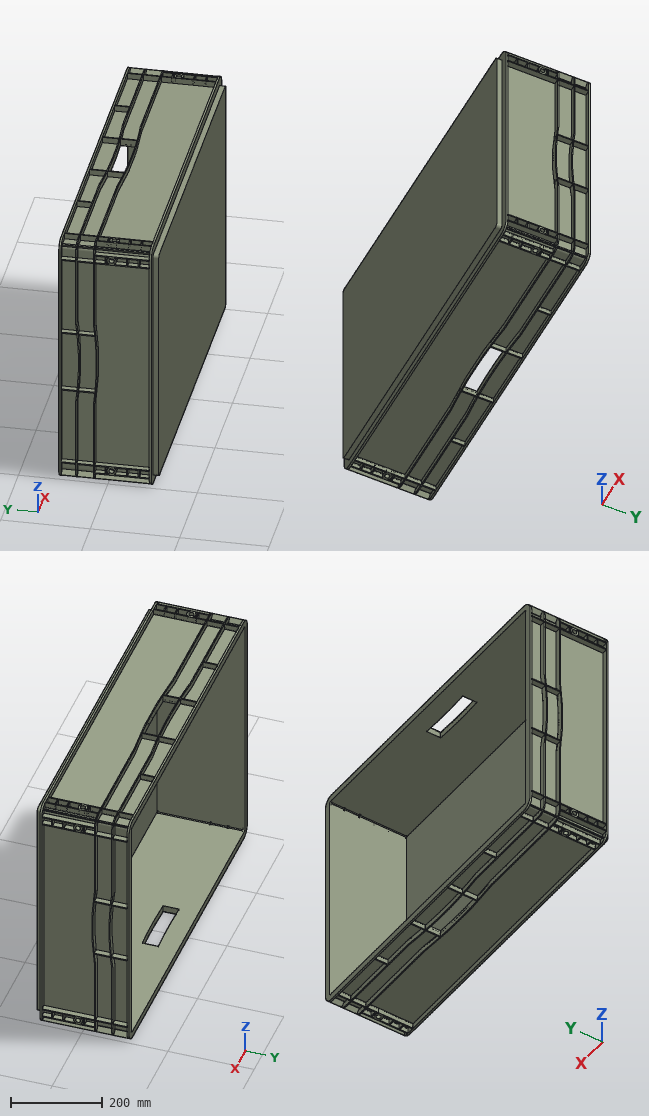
import cadquery as cq
import math

LENGTH = 800.0
HEIGHT = 600.0
DEPTH = 220.0
CORNER_RADIUS = 24.0

RIB_DEPTH = 14.0
WALL = 3.0
FLOOR = 3.0
CAVITY_RADIUS = 3.0
FLANGE = 5.0
PANEL_RADIUS = CORNER_RADIUS - RIB_DEPTH
PANEL_X = LENGTH / 2 - RIB_DEPTH
PANEL_Z = HEIGHT / 2 - RIB_DEPTH

FOOT_INSET = 19.0
FOOT_DEPTH = 13.0
FOOT_RADIUS = 8.0

RIB = 2.8
LOWER_RIB_Y = 141.0
UPPER_RIB_Y = 181.0
RIB_SAG = 6.0
LONG_SIDE_SAG_SPAN = 264.0
SHORT_SIDE_SAG_SPAN = 200.0

HANDLE_HALF = 72.0
HANDLE_UPRIGHT_Y = 137.0
LONG_SIDE_RIB_X = 213.0
BAY_INNER = 43.0
BAY_OUTER = 24.0

CROSS_RIB_YS = (41.0, 67.0, 115.0)
BOSS_Y = 102.0
BOSS_DIAMETER = 21.0
BOSS_HOLE = 11.0

FLOOR_TOP = FOOT_DEPTH + FLANGE
CAVITY_INSET = RIB_DEPTH + WALL
OVERLAP = WALL / 2


def slab(inset, y_start, y_end, radius):
    """Rounded rectangle set in from the outer outline, between two Y levels."""
    return (
        cq.Workplane("XZ", origin=(0, y_start, 0))
        .rect(LENGTH - 2 * inset, HEIGHT - 2 * inset)
        .extrude(y_start - y_end)
        .edges("|Y")
        .fillet(radius)
    )


def side_plane(half_width):
    """Plane on a side panel: local x along the side, local y along Y, normal outward."""
    if half_width == LENGTH / 2:
        return cq.Plane(origin=(0, 0, PANEL_Z - OVERLAP), xDir=(1, 0, 0), normal=(0, 0, 1))
    return cq.Plane(origin=(PANEL_X - OVERLAP, 0, 0), xDir=(0, 0, -1), normal=(1, 0, 0))


def bar(plane, along_start, along_end, y_start, y_end):
    """Straight rib standing on a side panel and reaching the outer outline."""
    return (
        cq.Workplane(plane)
        .center((along_start + along_end) / 2, (y_start + y_end) / 2)
        .rect(along_end - along_start, y_end - y_start)
        .extrude(RIB_DEPTH + OVERLAP)
    )


def upright(plane, along, y_start, y_end):
    return bar(plane, along - RIB / 2, along + RIB / 2, y_start, y_end)


def sagging_rib(plane, half_width, y, span):
    """Lengthwise rib whose middle span sags toward the floor in an arc."""
    low = y - RIB / 2
    high = y + RIB / 2
    return (
        cq.Workplane(plane)
        .moveTo(-half_width, low)
        .lineTo(-span / 2, low)
        .threePointArc((0, low - RIB_SAG), (span / 2, low))
        .lineTo(half_width, low)
        .lineTo(half_width, high)
        .lineTo(span / 2, high)
        .threePointArc((0, high - RIB_SAG), (-span / 2, high))
        .lineTo(-half_width, high)
        .close()
        .extrude(RIB_DEPTH + OVERLAP)
    )


def end_bay(plane, half_width):
    """Ribs and boss at the +along end of a side."""
    inner = half_width - BAY_INNER
    outer = half_width - BAY_OUTER
    bay = upright(plane, inner, FOOT_DEPTH, DEPTH)
    bay = bay.union(upright(plane, outer, FOOT_DEPTH, LOWER_RIB_Y))
    for y in CROSS_RIB_YS:
        bay = bay.union(bar(plane, inner, outer, y - RIB / 2, y + RIB / 2))
    boss = cq.Workplane(plane).center((inner + outer) / 2, BOSS_Y)
    bay = bay.union(boss.circle(BOSS_DIAMETER / 2).extrude(RIB_DEPTH + OVERLAP))
    return bay.cut(boss.circle(BOSS_HOLE / 2).extrude(RIB_DEPTH + OVERLAP))


def side_ribs(half_width, span):
    """All ribs of one side."""
    plane = side_plane(half_width)
    bay = end_bay(plane, half_width)
    mirror_plane = "YZ" if half_width == LENGTH / 2 else "XY"
    ribs = bay.union(bay.mirror(mirror_plane))
    for y in (LOWER_RIB_Y, UPPER_RIB_Y):
        ribs = ribs.union(sagging_rib(plane, half_width, y, span))
    for along in (-HANDLE_HALF, HANDLE_HALF):
        ribs = ribs.union(upright(plane, along, HANDLE_UPRIGHT_Y, DEPTH))
    return ribs


def corner_fin(sign_x, sign_z):
    """Diagonal fin through a panel corner; its ends are trimmed by the outline and cavity."""
    fin = (
        cq.Workplane("XY")
        .box(2 * CORNER_RADIUS, DEPTH - FOOT_DEPTH, RIB)
        .rotate((0, 0, 0), (0, 1, 0), -45 * sign_x * sign_z)
    )
    centre_x = sign_x * (LENGTH / 2 - CORNER_RADIUS)
    centre_z = sign_z * (HEIGHT / 2 - CORNER_RADIUS)
    return fin.translate((centre_x, (DEPTH + FOOT_DEPTH) / 2, centre_z))


def handle_opening():
    """Cut between the handle uprights and the two sagging ribs of the long sides."""
    half = HANDLE_HALF - RIB / 2
    low = LOWER_RIB_Y + RIB / 2
    high = UPPER_RIB_Y - RIB / 2
    arc_radius = ((LONG_SIDE_SAG_SPAN / 2) ** 2 + RIB_SAG**2) / (2 * RIB_SAG)
    end_sag = RIB_SAG - (arc_radius - math.sqrt(arc_radius**2 - half**2))
    return (
        cq.Workplane("XY")
        .moveTo(-half, low - end_sag)
        .threePointArc((0, low - RIB_SAG), (half, low - end_sag))
        .lineTo(half, high - end_sag)
        .threePointArc((0, high - RIB_SAG), (-half, high - end_sag))
        .close()
        .extrude(HEIGHT / 2, both=True)
    )


body = slab(RIB_DEPTH, FOOT_DEPTH, DEPTH, PANEL_RADIUS)
body = body.union(slab(0, FOOT_DEPTH, FLOOR_TOP, CORNER_RADIUS))
body = body.union(slab(0, DEPTH - FLANGE, DEPTH, CORNER_RADIUS))
body = body.union(slab(FOOT_INSET, 0, FOOT_DEPTH, FOOT_RADIUS))

long_ribs = side_ribs(LENGTH / 2, LONG_SIDE_SAG_SPAN)
for along in (-LONG_SIDE_RIB_X, LONG_SIDE_RIB_X):
    long_ribs = long_ribs.union(upright(side_plane(LENGTH / 2), along, UPPER_RIB_Y, DEPTH))
short_ribs = side_ribs(HEIGHT / 2, SHORT_SIDE_SAG_SPAN)
fins = [corner_fin(sign_x, sign_z) for sign_x in (-1, 1) for sign_z in (-1, 1)]
outline = slab(0, FOOT_DEPTH, DEPTH, CORNER_RADIUS)
for ribs in (long_ribs, long_ribs.mirror("XY"), short_ribs, short_ribs.mirror("YZ"), *fins):
    body = body.union(ribs.intersect(outline))

cavity = slab(CAVITY_INSET, FOOT_DEPTH + FLOOR, DEPTH, CAVITY_RADIUS)
result = body.cut(cavity).cut(handle_opening())